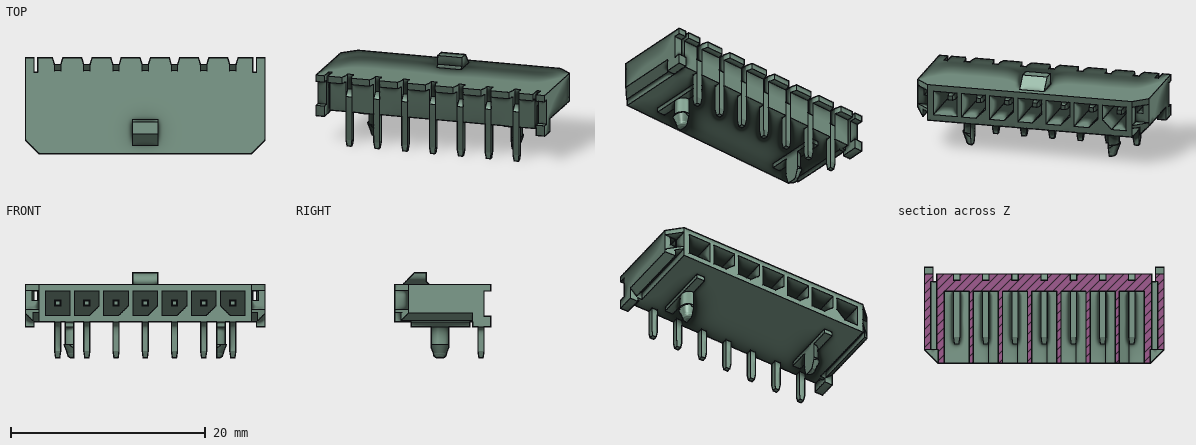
import cadquery as cq
import math


pin_count = 7
pitch = 3.0
pin_size = 0.64
pin_height = 2.45
pin_tip_size = 0.45
pin_tip_length = 0.68
pin_start = 2.0
pin_bottom = -3.19

length = 24.65
depth = 9.9
top = 4.36
floor = 0.51
half_length = length / 2
corner_chamfer = 1.42
side_chamfer = 0.77
side_chamfer_top = 1.4
side_chamfer_bottom = side_chamfer_top - side_chamfer

flange_depth = 0.7
flange_bottom = 3.68
foot_top = 1.11
foot_width = 0.91
foot_length = 1.87
slit_width = 0.37
slit_depth = 1.5
funnel_mouth = 1.06

cavity_size = 2.54
cavity_depth = 7.4
cavity_key = 1.0
cavity_height = 2.43

recess_bottom = 1.77
recess_top = 3.74
groove_top = 1.45
window_bottom = 2.72
window_top = flange_bottom
window_start = 0.67

latch_width = 2.6
latch_top = 5.57
latch_front = 0.86
latch_crest = 2.03
latch_rear = 3.28
latch_bevel = 0.28

peg_axis_x = 7.33
peg_axis_y = 4.66
peg_radius = 0.91
barb_radius = 1.03
barb_z = -1.8
nose_radius = 0.67
nose_z = -2.76
peg_tip_radius = 0.3
nose_bulge = 0.08
rib_start = 1.7
rib_end = 7.74

rear_wall = depth - flange_depth
leg_front = rear_wall - pin_size
half_pin = pin_size / 2
pin_top = pin_height + half_pin
pin_positions = [(index - (pin_count - 1) / 2) * pitch for index in range(pin_count)]


def block(x0, x1, y0, y1, z0, z1):
    """Box between two opposite corners."""
    return cq.Workplane("XY").box(x1 - x0, y1 - y0, z1 - z0, centered=False).translate((x0, y0, z0))


def both_ends(shape):
    """The shape at the -X end together with its mirror copy at the +X end."""
    return shape.union(shape.mirror("YZ"))


def main_block():
    """Main block with the overhanging rear flange and the chamfered front and lower edges."""
    body = block(-half_length, half_length, 0, rear_wall, floor, top)
    flange = block(-half_length, half_length, leg_front, depth, flange_bottom, top)
    body = body.union(flange)
    corner = (
        cq.Workplane("XY")
        .moveTo(-half_length, 0)
        .lineTo(corner_chamfer - half_length, 0)
        .lineTo(-half_length, corner_chamfer)
        .close()
        .extrude(top)
    )
    lower_edge = (
        cq.Workplane("XZ")
        .moveTo(-half_length, floor)
        .lineTo(-half_length, side_chamfer_top)
        .lineTo(side_chamfer - half_length, side_chamfer_bottom)
        .lineTo(side_chamfer - half_length, floor)
        .close()
        .extrude(-(depth - foot_length))
    )
    return body.cut(both_ends(corner)).cut(both_ends(lower_edge))


def foot():
    """Foot at the rear of the -X end, standing on the board."""
    foot_front = depth - foot_length
    inner = foot_width - half_length
    return block(-half_length, inner, foot_front, depth, 0, foot_top)


def corner_recesses():
    """Recess in the -X front corner, the window and rear slit behind it, and the groove underneath."""
    inner = corner_chamfer - half_length
    slit_start = foot_width - half_length
    slit_end = slit_start + slit_width
    slit_front = depth - slit_depth
    upper = block(-half_length, inner, 0, corner_chamfer, recess_bottom, recess_top)
    groove = block(side_chamfer - half_length, inner, 0, depth - foot_length, floor, groove_top)
    window = block(window_start - half_length, slit_end, corner_chamfer, slit_front, window_bottom, window_top)
    slit = block(slit_start, slit_end, slit_front, depth, 0, top)
    return upper.union(groove).union(window).union(slit)


def cavity(x, key_side):
    """Square mating cavity; key_side is +1 or -1 for a key at its lower +X or -X corner, 0 for none."""
    half = cavity_size / 2
    shape = block(x - half, x + half, 0, cavity_depth, cavity_height - half, cavity_height + half)
    if key_side == 0:
        return shape
    corner_x = x + key_side * half
    corner_z = cavity_height - half
    key = (
        cq.Workplane("XZ")
        .moveTo(corner_x, corner_z)
        .lineTo(corner_x - key_side * cavity_key, corner_z)
        .lineTo(corner_x, corner_z + cavity_key)
        .close()
        .extrude(-cavity_depth)
    )
    return shape.cut(key)


def pin_slot(x):
    """Hole for the pin blade, open slot for its leg and tapered lead-in through the rear flange."""
    hole = block(
        x - half_pin, x + half_pin, cavity_depth, leg_front, pin_height - half_pin, pin_height + half_pin
    )
    slot = block(x - half_pin, x + half_pin, leg_front, rear_wall, floor, top)
    lead_in = (
        cq.Workplane("XY")
        .workplane(offset=flange_bottom)
        .moveTo(x - half_pin, rear_wall)
        .lineTo(x + half_pin, rear_wall)
        .lineTo(x + funnel_mouth / 2, depth)
        .lineTo(x - funnel_mouth / 2, depth)
        .close()
        .extrude(top - flange_bottom)
    )
    return hole.union(slot).union(lead_in)


def latch():
    """Latch ramp on the top face, with a small bevel at the foot of its rear side."""
    return (
        cq.Workplane("YZ")
        .moveTo(latch_front, top)
        .lineTo(latch_crest, latch_top)
        .lineTo(latch_rear, latch_top)
        .lineTo(latch_rear, top + latch_bevel)
        .lineTo(latch_rear + latch_bevel, top)
        .close()
        .extrude(latch_width / 2, both=True)
    )


def peg():
    """Half-round barbed peg at the -X end under its stand-off rib; its flat side faces the middle."""
    middle_radius = (nose_radius + peg_tip_radius) / 2 + nose_bulge
    middle_z = (nose_z + pin_bottom) / 2 - nose_bulge
    barb = (
        cq.Workplane("XZ")
        .moveTo(0, barb_z)
        .lineTo(barb_radius, barb_z)
        .lineTo(nose_radius, nose_z)
        .threePointArc((middle_radius, middle_z), (peg_tip_radius, pin_bottom))
        .lineTo(0, pin_bottom)
        .close()
        .revolve(360, (0, 0), (0, 1))
    )
    shank = cq.Workplane("XY").circle(peg_radius).extrude(barb_z)
    outer_half = block(-barb_radius, 0, -peg_radius, peg_radius, pin_bottom, 0)
    half_peg = shank.union(barb).intersect(outer_half).translate((-peg_axis_x, peg_axis_y, 0))
    rib = block(-peg_axis_x - peg_radius, -peg_axis_x, rib_start, rib_end, 0, floor)
    return rib.union(half_peg)


def make_housing():
    """Moulded housing with one cavity and one slot per pin."""
    body = main_block().union(both_ends(foot())).cut(both_ends(corner_recesses()))
    for index, x in enumerate(pin_positions):
        if index == 0:
            key_side = 0
        elif index == pin_count - 1:
            key_side = -1
        else:
            key_side = 1
        body = body.cut(cavity(x, key_side)).cut(pin_slot(x))
    return body.union(latch()).union(both_ends(peg()))


def pin_tip(plane):
    """Tapered square pin end, growing along the normal of the given plane."""
    taper = math.degrees(math.atan2((pin_size - pin_tip_size) / 2, pin_tip_length))
    return cq.Workplane(plane).rect(pin_size, pin_size).extrude(pin_tip_length, taper=taper)


def make_pin(x):
    """Square pin bent down at the rear, with a bevelled outer bend and tapered ends."""
    blade_start = pin_start + pin_tip_length
    leg_end = pin_bottom + pin_tip_length
    blade_bottom = pin_height - half_pin
    bar = (
        cq.Workplane("YZ")
        .moveTo(blade_start, pin_top)
        .lineTo(leg_front, pin_top)
        .lineTo(rear_wall, blade_bottom)
        .lineTo(rear_wall, leg_end)
        .lineTo(leg_front, leg_end)
        .lineTo(leg_front, blade_bottom)
        .lineTo(blade_start, blade_bottom)
        .close()
        .extrude(half_pin, both=True)
    )
    front_tip = pin_tip("XZ").translate((0, blade_start, pin_height))
    lower_tip = pin_tip(cq.Plane((0, 0, 0), (1, 0, 0), (0, 0, -1)))
    lower_tip = lower_tip.translate((0, leg_front + half_pin, leg_end))
    return bar.union(front_tip).union(lower_tip).translate((x, 0, 0))


housing = make_housing()
pins = [make_pin(x) for x in pin_positions]

result = cq.Compound.makeCompound([housing.solids().val(), *[pin.solids().val() for pin in pins]])